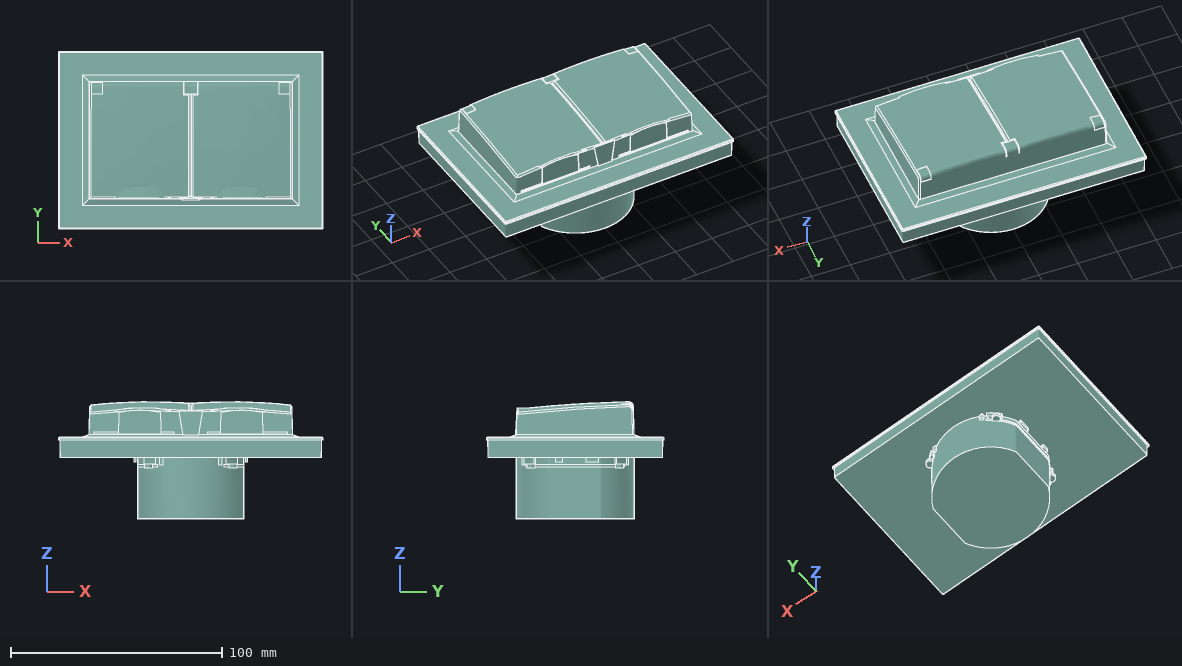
import cadquery as cq
import math


length = 125.1
width = 84.1
height = 55.44
MIRROR_SIGNS = (-1, 1)
SAFE = 100.0

plate_bottom = 28.9
lip_bottom = 37.4
plate_top = 38.7
lip_overhang = 0.6
lip_chamfer = 0.45
plate_corner = 0.6
plate_draft = 0.8

skirt_length = 102.6
skirt_width = 61.9
skirt_top = 39.8

barrel_radius = 27.93
barrel_flat = 25.15
barrel_edge_radius = 2.0
band_drop = 4.5
band_height = 1.4
band_bottom = plate_bottom - band_drop
band_proud = 0.1
band_inner_x = 15.7

claw_radius = 29.5
claw_inner_x, claw_outer_x = 16.7, 22.1
claw_inner_y = 18.8
claw_length = 3.0
stud_x, stud_y = 20.0, 20.9
stud_radius = 2.0
stud_length = 1.8
hook_x, hook_y = 14.0, 24.6
hook_size = (1.8, 1.2, 3.5)
tab_x = 26.4
tab_thickness = 1.1
tab_length = 2.1
tab_spans = ((5.2, 11.1), (-9.3, -6.1))

housing_length = 96.5
housing_width = 55.8
housing_draft = 1.5
housing_corner = 1.0
front_y = -housing_width / 2
back_y = housing_width / 2
crown_x = 19.6
crown_radius = 255.0
slope_radius = 600.0
slope_axis_y = 39.0
sweep_angle = 14.0
crest_tangent_y = 25.0
rear_radius = 2.4
rim_chamfer = 0.8

gap_top_half = 1.1
gap_slot_half = 0.3
gap_bevel_depth = 1.2
gap_depth = 3.0
hinge_front_y = 21.8
knuckle_half = 3.1
knuckle_gap = 0.35
corner_hinge_inner = 41.8
corner_hinge_outer = 46.9
hinge_step = 0.15

thumb_x = 22.7
thumb_top = 52.65
thumb_radius = 72.0
thumb_half = 13.0
thumb_reach = 9.0
thumb_floor = 49.5
thumb_setback = 0.4
recess_x = 24.1
recess_top_half = 9.8
recess_bottom_half = 10.1
recess_shoulder = 50.4
recess_crest = 51.4
recess_bottom = 40.1
recess_depth = 0.6

panel_top_half = 5.6
panel_bottom_half = 3.7
panel_top = 51.1
panel_bottom = 39.6
panel_lean = 0.4
panel_top_setback = 0.25
panel_thickness = 1.5
shadow_gap_top = 41.0
shadow_gap_bottom = 40.1
shadow_gap_span = (8.0, 45.7)
shadow_gap_depth = 0.3


def block(x_span, y_span, z_span):
    """Box between the given limits."""
    size = [high - low for low, high in (x_span, y_span, z_span)]
    low_corner = (x_span[0], y_span[0], z_span[0])
    return cq.Workplane("XY").box(*size, centered=False).translate(low_corner)


crest_at_axis = height + (slope_axis_y - crest_tangent_y) ** 2 / (2 * slope_radius)


def crown_height(x):
    """Height of the lid crown at x, in the plane of the slope axis."""
    offset = abs(x) - crown_x
    return crest_at_axis - crown_radius + math.sqrt(crown_radius ** 2 - offset ** 2)


def sweep_slope(profile):
    """Revolve an XZ profile about the slope axis, forward from the axis plane past the front face."""
    axis_z = crest_at_axis - slope_radius
    return profile.revolve(sweep_angle, (0, axis_z, 0), (1, axis_z, 0))


def slope_plane():
    return cq.Workplane("XZ", origin=(0, slope_axis_y, 0))


def make_plate():
    body_length = length - 2 * lip_overhang
    body_width = width - 2 * lip_overhang
    body = (
        cq.Workplane("XY", origin=(0, 0, lip_bottom))
        .rect(body_length, body_width)
        .extrude(plate_bottom - lip_bottom, taper=plate_draft)
        .edges("not(#Z or |X or |Y)")
        .fillet(plate_corner)
    )
    lip = (
        cq.Workplane("XY", origin=(0, 0, lip_bottom))
        .rect(length, width)
        .extrude(plate_top - lip_bottom)
        .edges("|Z")
        .fillet(plate_corner)
        .faces(">Z")
        .edges()
        .chamfer(lip_chamfer)
    )
    return body.union(lip)


def make_skirt():
    return (
        cq.Workplane("XY", origin=(0, 0, plate_top))
        .rect(skirt_length, skirt_width)
        .workplane(offset=skirt_top - plate_top)
        .rect(housing_length, housing_width)
        .loft(ruled=True)
    )


def make_barrel_slice(bottom, slice_height, growth=0.0):
    """Round barrel with two flats, optionally grown outwards."""
    flat = barrel_flat + growth
    plane = cq.Workplane("XY", origin=(0, 0, bottom))
    flats = block((-flat, flat), (-SAFE, SAFE), (bottom, bottom + slice_height))
    return (
        plane.circle(barrel_radius + growth)
        .extrude(slice_height)
        .intersect(flats)
        .edges("|Z")
        .fillet(barrel_edge_radius)
    )


def make_barrel():
    barrel = make_barrel_slice(0, plate_bottom)
    band = make_barrel_slice(band_bottom, band_height, band_proud)
    middle = block((-band_inner_x, band_inner_x), (-SAFE, SAFE), (0, SAFE))
    return barrel.union(band.cut(middle))


def make_mounting_details():
    plane = cq.Workplane("XY", origin=(0, 0, plate_bottom))
    studs = [(sx * stud_x, sy * stud_y) for sx in MIRROR_SIGNS for sy in MIRROR_SIGNS]
    hooks = [(sx * hook_x, sy * hook_y) for sx in MIRROR_SIGNS for sy in MIRROR_SIGNS]
    stud_plane = plane.workplane(offset=-claw_length)
    details = stud_plane.pushPoints(studs).circle(stud_radius).extrude(-stud_length)
    claw_disc = plane.circle(claw_radius).extrude(-claw_length)
    corner = block((claw_inner_x, claw_outer_x), (claw_inner_y, SAFE), (0, SAFE))
    claw = claw_disc.intersect(corner)
    claws = claw.union(claw.mirror("YZ"))
    details = details.union(claws).union(claws.mirror("XZ"))
    details = details.union(
        plane.pushPoints(hooks).rect(hook_size[0], hook_size[1]).extrude(-hook_size[2])
    )
    for side in MIRROR_SIGNS:
        for low, high in tab_spans:
            tab = plane.center(side * tab_x, (low + high) / 2).rect(tab_thickness, high - low)
            details = details.union(tab.extrude(-tab_length))
    return details


def make_walls():
    """Drafted housing walls, taller than the lids."""
    return (
        cq.Workplane("XY", origin=(0, 0, plate_top))
        .rect(housing_length, housing_width)
        .extrude(height + rear_radius - plate_top, taper=housing_draft)
    )


def make_crowned_housing():
    """Housing topped by two crowned, forward-sloping lid surfaces with rounded rear and bevelled rims."""
    walls = make_walls()
    half = housing_length / 2
    profile = (
        slope_plane()
        .moveTo(0, plate_bottom)
        .lineTo(half, plate_bottom)
        .lineTo(half, crown_height(half))
        .threePointArc((crown_x, crest_at_axis), (0, crown_height(0)))
        .close()
    )
    half_housing = walls.intersect(sweep_slope(profile))
    mid_x = half / 2
    rear_edge = cq.selectors.NearestToPointSelector((mid_x, back_y, crown_height(mid_x)))
    half_housing = half_housing.edges(rear_edge).fillet(rear_radius)
    front_edge = cq.selectors.NearestToPointSelector((mid_x, front_y, panel_top))
    side_edge = cq.selectors.NearestToPointSelector((half, 0, panel_top))
    half_housing = half_housing.edges(front_edge + side_edge).chamfer(rim_chamfer)
    rounded_walls = walls.edges("not(#Z or |X or |Y)").fillet(housing_corner)
    half_housing = half_housing.intersect(rounded_walls)
    return half_housing.union(half_housing.mirror("YZ"))


def lid_gap():
    """Bevelled slot between the two lids, running forward from the hinge knuckle."""
    bevel_top = crown_height(0)
    bevel_bottom = bevel_top - gap_bevel_depth
    half_outline = [
        (gap_slot_half, bevel_top - gap_depth),
        (gap_slot_half, bevel_bottom),
        (gap_top_half, bevel_top),
        (gap_top_half, crest_at_axis),
    ]
    mirrored = [(-x, z) for x, z in reversed(half_outline)]
    slot = sweep_slope(slope_plane().polyline(half_outline + mirrored).close())
    return slot.intersect(block((-SAFE, SAFE), (front_y + panel_thickness, hinge_front_y), (0, SAFE)))


def knuckle_gap_cut():
    """Narrow groove around the front and sides of the central hinge knuckle."""
    outer = knuckle_half + knuckle_gap
    column = block((-outer, outer), (hinge_front_y - knuckle_gap, SAFE), (panel_top, SAFE))
    knuckle = block((-knuckle_half, knuckle_half), (hinge_front_y, SAFE), (panel_top, SAFE))
    return column.cut(knuckle)


def cut_hinge_grooves(housing):
    """Sink the knuckle outline and the two corner hinge seats slightly below the lid surface."""
    seats = knuckle_gap_cut()
    for x_span in ((-corner_hinge_outer, -corner_hinge_inner), (corner_hinge_inner, corner_hinge_outer)):
        seats = seats.union(block(x_span, (hinge_front_y, SAFE), (panel_top, SAFE)))
    lowered = housing.translate((0, -hinge_step, -hinge_step))
    return housing.cut(seats.cut(lowered))


def thumb_lip(x):
    """Level barrel-vaulted lip that rises out of the sloping lid at its front edge."""
    drop = thumb_radius - math.sqrt(thumb_radius ** 2 - thumb_half ** 2)
    return (
        cq.Workplane("XZ", origin=(x, front_y + thumb_setback, 0))
        .moveTo(-thumb_half, thumb_floor)
        .lineTo(-thumb_half, thumb_top - drop)
        .threePointArc((0, thumb_top), (thumb_half, thumb_top - drop))
        .lineTo(thumb_half, thumb_floor)
        .close()
        .extrude(-thumb_reach)
    )


def finger_recess(x):
    """Shallow arched recess in the front wall below a thumb lip."""
    return (
        cq.Workplane("XZ", origin=(x, front_y + recess_depth, 0))
        .moveTo(-recess_bottom_half, recess_bottom)
        .lineTo(-recess_top_half, recess_shoulder)
        .threePointArc((0, recess_crest), (recess_top_half, recess_shoulder))
        .lineTo(recess_bottom_half, recess_bottom)
        .close()
        .extrude(SAFE)
    )


def shadow_gap(side):
    """Slit below the front wall of one lid."""
    inner, outer = shadow_gap_span
    slit = block((inner, outer), (-SAFE, front_y + shadow_gap_depth), (shadow_gap_bottom, shadow_gap_top))
    return slit if side > 0 else slit.mirror("YZ")


def centre_panel():
    """Tapered front panel between the lids, leaning outwards towards its foot."""
    taper = (
        cq.Workplane("XZ", origin=(0, front_y + panel_thickness, 0))
        .moveTo(-panel_bottom_half, panel_bottom)
        .lineTo(-panel_top_half, panel_top)
        .lineTo(panel_top_half, panel_top)
        .lineTo(panel_bottom_half, panel_bottom)
        .close()
        .extrude(panel_thickness + panel_lean)
    )
    lean = (
        cq.Workplane("YZ", origin=(-panel_top_half, 0, 0))
        .moveTo(front_y + panel_thickness, panel_bottom)
        .lineTo(front_y - panel_lean, panel_bottom)
        .lineTo(front_y + panel_top_setback, panel_top)
        .lineTo(front_y + panel_thickness, panel_top)
        .close()
        .extrude(2 * panel_top_half)
    )
    return taper.intersect(lean)


def make_lidded_housing():
    housing = cut_hinge_grooves(make_crowned_housing())
    for side in MIRROR_SIGNS:
        housing = housing.union(thumb_lip(side * thumb_x))
        housing = housing.cut(finger_recess(side * recess_x)).cut(shadow_gap(side))
    return housing.cut(lid_gap()).union(centre_panel())


result = (
    make_plate()
    .union(make_skirt())
    .union(make_barrel())
    .union(make_mounting_details())
    .union(make_lidded_housing())
)